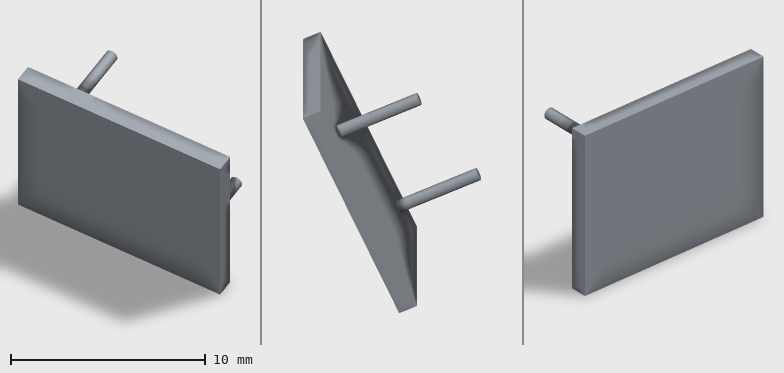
import cadquery as cq

plate_width = 12.1
plate_height = 9.6
total_depth = 5.5
plate_thickness = 1.0

pin_diameter = 0.67
pin_spacing_x = 7.45
pin_spacing_z = 5.43
pin_length = total_depth - plate_thickness

plate = cq.Workplane("XY").box(
    plate_width, plate_thickness, plate_height, centered=(True, False, True)
)


def make_pin(x, z):
    """Round pin running along +Y from the back face of the plate."""
    base = cq.Vector(x, plate_thickness, z)
    along_y = cq.Vector(0, 1, 0)
    return cq.Workplane(obj=cq.Solid.makeCylinder(pin_diameter / 2, pin_length, base, along_y))


result = plate
for side in (-1, 1):
    result = result.union(make_pin(side * pin_spacing_x / 2, -side * pin_spacing_z / 2))